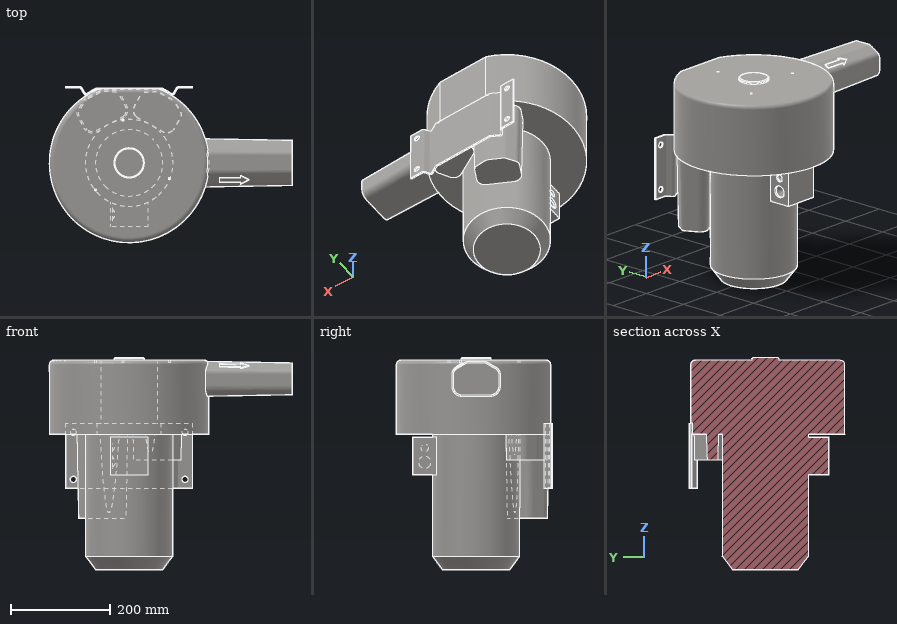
import cadquery as cq
import math


housing_radius = 161.0
housing_height = 150.0
flat_distance = 150.5
housing_edge_radius = 10.0

cap_radius = 30.5
cap_height = 5.0
cap_chamfer = 2.0
cover_hole_circle_radius = 87.0
cover_hole_diameter = 4.0
cover_hole_depth = 5.0
cover_hole_count = 3
cover_hole_start_angle = 98.5

motor_radius = 88.0
motor_end_radius = 67.5
motor_length = 273.0
motor_cone_length = 27.5

box_size = 76.0
box_top = -5.5
box_front = -128.0
gland_y = -103.5
gland_sizes = [(15.0, -27.0), (24.5, -56.0)]
gland_depth = 4.0
drill_tip_angle = 118.0

pipe_half_width = 45.7
pipe_half_height = 32.3
pipe_slope_angle = 30.0
pipe_slope_start = 18.3
pipe_edge_radius = 12.0
pipe_bottom_radius = 17.0
pipe_draft = 1.0

outlet_end_x = 328.5
outlet_root_x = 120.0
outlet_z = 112.0

lower_pipe_distance = 120.5
lower_pipe_root_z = 10.0
lower_pipes = [(117.5, 169.0), (61.0, 51.5)]

arrow_start_x = 181.5
arrow_head_x = 224.5
arrow_tip_x = 241.5
arrow_shaft_half = 5.2
arrow_head_half = 10.0
arrow_offset = 0.8
arrow_height = 2.0

bracket_thickness = 3.0
bracket_back = 153.5
bracket_half_width = 128.0
bracket_ear_bend = 98.0
bracket_riser_angle = 60.0
bracket_arm_angle = 30.0
bracket_bend_radius = 3.0
bracket_top = 22.5
bracket_bottom = -108.5
bracket_hole_diameter = 12.0
bracket_hole_x = 112.5
bracket_hole_spacing = 95.0

slope = math.radians(pipe_slope_angle)
slope_end_height = pipe_half_height - (pipe_half_width - pipe_slope_start) * math.tan(slope)


def make_housing():
    body = cq.Workplane("XY").circle(housing_radius).extrude(housing_height)
    behind_flat = (
        cq.Workplane("XY")
        .box(2 * housing_radius, housing_radius, housing_height, centered=(True, False, False))
        .translate((0, flat_distance, 0))
    )
    return body.cut(behind_flat).faces(">Z").edges().fillet(housing_edge_radius)


def make_cap():
    cap = cq.Workplane("XY").workplane(offset=housing_height).circle(cap_radius).extrude(cap_height)
    return cap.faces(">Z").edges().chamfer(cap_chamfer)


def make_cover_holes():
    return (
        cq.Workplane("XY")
        .workplane(offset=housing_height - cover_hole_depth)
        .polarArray(cover_hole_circle_radius, cover_hole_start_angle, 360, cover_hole_count)
        .circle(cover_hole_diameter / 2)
        .extrude(cover_hole_depth)
    )


def make_motor():
    half_section = [
        (0, 0),
        (-motor_radius, 0),
        (-motor_radius, motor_cone_length - motor_length),
        (-motor_end_radius, -motor_length),
        (0, -motor_length),
    ]
    return cq.Workplane("YZ").polyline(half_section).close().revolve(360, (0, 0), (0, 1))


def make_terminal_box():
    return (
        cq.Workplane("XY")
        .box(box_size, -box_front, box_size, centered=(True, False, False))
        .translate((0, box_front, box_top - box_size))
    )


def make_gland_hole(diameter, z):
    """Blind hole with a drill tip, going in from the -X side of the terminal box."""
    radius = diameter / 2
    tip = radius / math.tan(math.radians(drill_tip_angle / 2))
    half_section = [(0, 0), (radius, 0), (radius, gland_depth), (0, gland_depth + tip)]
    hole = cq.Workplane("XY").polyline(half_section).close().revolve(360, (0, 0), (0, 1))
    return hole.rotate((0, 0, 0), (0, 0, 1), -90).translate((-box_size / 2, gland_y, z))


def make_pipe(end_plane, length):
    """Pipe with its free end on end_plane, widening by the draft along the plane normal."""
    outline = [
        (-pipe_half_width, -pipe_half_height),
        (pipe_half_width, -pipe_half_height),
        (pipe_half_width, slope_end_height),
        (pipe_slope_start, pipe_half_height),
        (-pipe_slope_start, pipe_half_height),
        (-pipe_half_width, slope_end_height),
    ]
    sketch = cq.Sketch().polygon(outline + outline[:1])
    sketch = sketch.vertices("not <Y").fillet(pipe_edge_radius).reset()
    sketch = sketch.vertices("<Y").fillet(pipe_bottom_radius).reset()
    return cq.Workplane(end_plane).placeSketch(sketch).extrude(length, taper=-pipe_draft)


def make_outlet_pipe():
    end_plane = cq.Plane((outlet_end_x, 0, outlet_z), xDir=(0, -1, 0), normal=(-1, 0, 0))
    return make_pipe(end_plane, outlet_end_x - outlet_root_x)


def make_lower_pipe(angle, length):
    """Vertical pipe under the housing with its sloped top facing away from the blower axis."""
    outward = math.radians(angle)
    end_plane = cq.Plane(
        (lower_pipe_distance * math.cos(outward), lower_pipe_distance * math.sin(outward), -length),
        xDir=(math.sin(outward), -math.cos(outward), 0),
        normal=(0, 0, 1),
    )
    return make_pipe(end_plane, length + lower_pipe_root_z)


def make_arrow():
    """Arrow lying on the drafted slope of the outlet pipe, pointing away from the blower."""
    slope_mid_y = -(pipe_slope_start + pipe_half_width) / 2
    slope_mid_z = outlet_z + (pipe_half_height + slope_end_height) / 2
    draft = math.radians(pipe_draft)
    normal = cq.Vector(
        math.sin(draft),
        -math.sin(slope) * math.cos(draft),
        math.cos(slope) * math.cos(draft),
    )
    along = cq.Vector(
        math.cos(draft),
        math.sin(slope) * math.sin(draft),
        -math.cos(slope) * math.sin(draft),
    )
    face_plane = cq.Plane((outlet_end_x, slope_mid_y, slope_mid_z), xDir=along, normal=normal)
    shaft, head, tip = (x - outlet_end_x for x in (arrow_start_x, arrow_head_x, arrow_tip_x))
    outline = [
        (shaft, -arrow_shaft_half),
        (head, -arrow_shaft_half),
        (head, -arrow_head_half),
        (tip, 0),
        (head, arrow_head_half),
        (head, arrow_shaft_half),
        (shaft, arrow_shaft_half),
    ]
    outline = [(x, y - arrow_offset) for x, y in outline]
    return cq.Workplane(face_plane).polyline(outline).close().extrude(arrow_height)


def mitred_offset(line, distance):
    """Points of an open line moved sideways by distance, with sharp corners kept."""
    directions = [
        (cq.Vector(*end) - cq.Vector(*start)).normalized() for start, end in zip(line, line[1:])
    ]
    before = directions[:1] + directions
    after = directions + directions[-1:]
    moved = []
    for (x, y), first, second in zip(line, before, after):
        reach = distance / (1 + first.dot(second))
        moved.append((x - reach * (first.y + second.y), y + reach * (first.x + second.x)))
    return moved


def round_bend(strip, corner, radius):
    """Fillet the upright edge of the strip that runs through the given outline corner."""
    x, y = corner
    nearest = cq.selectors.NearestToPointSelector((x, y, (bracket_top + bracket_bottom) / 2))
    return strip.edges("|Z").edges(nearest).fillet(radius)


def make_bracket():
    """Bent strip: a middle plate flush in the housing flat, arms tangent to the housing, two ears."""
    arm = math.radians(bracket_arm_angle)
    riser_slope = math.tan(math.radians(bracket_riser_angle))
    ear_front = bracket_back - bracket_thickness
    plate_front = flat_distance - bracket_thickness
    riser_drop = riser_slope * bracket_ear_bend - ear_front
    valley_x = (housing_radius + riser_drop * math.cos(arm)) / (math.sin(arm) + riser_slope * math.cos(arm))
    front = [
        (bracket_half_width, ear_front),
        (bracket_ear_bend, ear_front),
        (valley_x, riser_slope * valley_x - riser_drop),
        ((housing_radius - plate_front * math.cos(arm)) / math.sin(arm), plate_front),
    ]
    front += [(-x, y) for x, y in reversed(front)]
    back = mitred_offset(front, -bracket_thickness)
    strip = (
        cq.Workplane("XY")
        .workplane(offset=bracket_bottom)
        .polyline(front + back[::-1])
        .close()
        .extrude(bracket_top - bracket_bottom)
    )
    valleys = (2, 5)
    for bend in range(1, len(front) - 1):
        inside, outside = (back, front) if bend in valleys else (front, back)
        strip = round_bend(strip, inside[bend], bracket_bend_radius)
        strip = round_bend(strip, outside[bend], bracket_bend_radius + bracket_thickness)
    holes = (
        cq.Workplane("XZ", origin=(0, bracket_back, (bracket_top + bracket_bottom) / 2))
        .rarray(2 * bracket_hole_x, bracket_hole_spacing, 2, 2)
        .circle(bracket_hole_diameter / 2)
        .extrude(bracket_thickness)
    )
    return strip.cut(holes)


bracket = make_bracket()

blower = make_housing().union(make_cap()).union(make_motor()).union(make_terminal_box())
blower = blower.union(make_outlet_pipe()).union(make_arrow())
for angle, length in lower_pipes:
    blower = blower.union(make_lower_pipe(angle, length))
blower = blower.cut(make_cover_holes())
for diameter, z in gland_sizes:
    blower = blower.cut(make_gland_hole(diameter, z))
blower = blower.cut(bracket)

result = cq.Compound.makeCompound([blower.val(), bracket.val()])